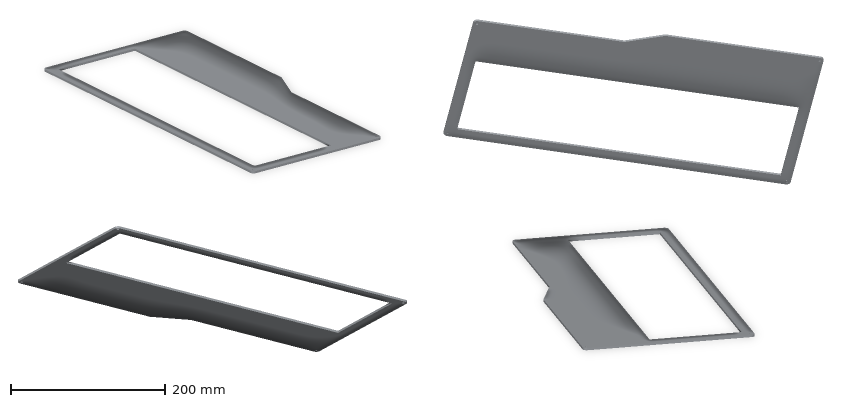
import cadquery as cq

plate_length = 458.5
plate_depth = 230.0
plate_thickness = 3.0
corner_radius = 5.5

right_depth = 209.0
slope_start_x = 209.5
slope_end_x = 260.0

left_border = 14.5
front_border = 14.5
window_length = 428.0
window_depth = 123.5

hole_diameter = 3.4
hole_inset = 5.0


def make_plate():
    """Stepped plate with rounded outer corners, its front left corner at the origin."""
    outline = [
        (0, 0),
        (plate_length, 0),
        (plate_length, right_depth),
        (slope_end_x, right_depth),
        (slope_start_x, plate_depth),
        (0, plate_depth),
    ]
    plate = cq.Workplane("XY").polyline(outline).close().extrude(plate_thickness)
    left_corners = plate.edges("|Z and <X")
    right_corners = plate.edges("|Z and >X")
    return left_corners.add(right_corners).fillet(corner_radius)


def make_window():
    """Block that cuts the window through the plate."""
    return cq.Workplane("XY").box(
        window_length, window_depth, plate_thickness, centered=False
    ).translate((left_border, front_border, 0))


def make_holes():
    """Pins that cut one screw hole at each rounded corner."""
    left_x = hole_inset
    right_x = plate_length - hole_inset
    centers = [
        (left_x, hole_inset),
        (right_x, hole_inset),
        (right_x, right_depth - hole_inset),
        (left_x, plate_depth - hole_inset),
    ]
    return (
        cq.Workplane("XY")
        .pushPoints(centers)
        .circle(hole_diameter / 2)
        .extrude(plate_thickness)
    )


result = make_plate().cut(make_window()).cut(make_holes())